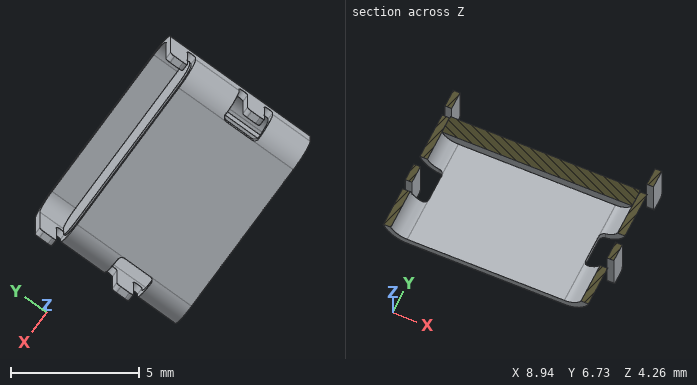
import cadquery as cq

SHELL_WIDTH = 8.94
SHELL_HEIGHT = 3.16
SHELL_DEPTH = 6.73
CORNER_RADIUS = 1.11
WALL = 0.3

TOTAL_HEIGHT = 4.26
LEG_WIDTH = 0.805
LEG_GAP = 0.4
FRONT_LEG_START = 2.22
FOOT_RADIUS = 0.2

INSERT_SETBACK = 1.135
BACK_WALL_THICKNESS = 0.805

HALF_WIDTH = SHELL_WIDTH / 2
INNER_HALF_WIDTH = HALF_WIDTH - WALL
FLAT_WIDTH = SHELL_WIDTH - 2 * CORNER_RADIUS
FLAT_HEIGHT = SHELL_HEIGHT - 2 * CORNER_RADIUS
LEG_BOTTOM = SHELL_HEIGHT / 2 - TOTAL_HEIGHT
GAP_RADIUS = LEG_GAP / 2
REAR_LEG_START = SHELL_DEPTH - LEG_WIDTH
FLOOR_END = REAR_LEG_START - LEG_GAP
WINDOW_START = FRONT_LEG_START - LEG_GAP
WINDOW_WIDTH = LEG_WIDTH + 2 * LEG_GAP
INSERT_BACK = SHELL_DEPTH - INSERT_SETBACK


def rounded_bar(inset, start, end):
    """Bar along Y whose section is the shell outline moved inward by inset."""
    return (
        cq.Workplane("XZ", origin=(0, start, 0))
        .rect(SHELL_WIDTH - 2 * inset, SHELL_HEIGHT - 2 * inset)
        .extrude(start - end)
        .edges("|Y")
        .fillet(CORNER_RADIUS - inset)
    )


def box_between(low, high):
    """Box spanning two opposite corner points."""
    size = [b - a for a, b in zip(low, high)]
    return cq.Workplane("XY").box(*size, centered=False).translate(low)


def window_cutter(side):
    """Clearance around a front leg, through the side wall and lower corner."""
    left = FLAT_WIDTH / 2 if side > 0 else -HALF_WIDTH
    low = (left, WINDOW_START, -SHELL_HEIGHT / 2)
    high = (left + CORNER_RADIUS, WINDOW_START + WINDOW_WIDTH, 0)
    round_top = box_between(low, high).edges("|X and >Z").fillet(GAP_RADIUS)
    floor_edges = "|Z and <X" if side > 0 else "|Z and >X"
    round_floor = box_between(low, high).edges(floor_edges).fillet(GAP_RADIUS)
    return round_top.intersect(round_floor)


def rear_cutter():
    """Removes the lower half of the tube behind the floor."""
    low = (-HALF_WIDTH, FLOOR_END, -SHELL_HEIGHT / 2)
    high = (HALF_WIDTH, SHELL_DEPTH, 0)
    return box_between(low, high).edges("|X and >Z and <Y").fillet(GAP_RADIUS)


def leg(side, start):
    """Leg plate in line with a side wall, ending in a rounded foot."""
    left = INNER_HALF_WIDTH if side > 0 else -HALF_WIDTH
    low = (left, start, LEG_BOTTOM)
    high = (left + WALL, start + LEG_WIDTH, 0)
    return box_between(low, high).edges("|X and <Z").fillet(FOOT_RADIUS)


def root_fillet(side, edge, direction):
    """Concave fillet between a leg edge and the wall above the gap."""
    left = INNER_HALF_WIDTH if side > 0 else -HALF_WIDTH
    outer = edge + direction * GAP_RADIUS
    low = (left, min(edge, outer), -GAP_RADIUS)
    high = (left + WALL, max(edge, outer), 0)
    round_gap = (
        cq.Workplane("YZ", origin=(left, 0, 0))
        .center(outer, -GAP_RADIUS)
        .circle(GAP_RADIUS)
        .extrude(WALL)
    )
    return box_between(low, high).cut(round_gap)


def make_shell():
    shell = rounded_bar(0, 0, SHELL_DEPTH).cut(rounded_bar(WALL, 0, SHELL_DEPTH))
    shell = shell.cut(rear_cutter())
    for side in (-1, 1):
        shell = shell.cut(window_cutter(side))
        for start in (FRONT_LEG_START, REAR_LEG_START):
            shell = shell.union(leg(side, start))
            shell = shell.union(root_fillet(side, start, -1))
        shell = shell.union(root_fillet(side, FRONT_LEG_START + LEG_WIDTH, 1))
    return shell


def make_insert():
    back_wall_front = INSERT_BACK - BACK_WALL_THICKNESS
    back_wall = rounded_bar(WALL, back_wall_front, INSERT_BACK)
    tongue = box_between(
        (-FLAT_WIDTH / 2, 0, -FLAT_HEIGHT / 2),
        (FLAT_WIDTH / 2, back_wall_front, FLAT_HEIGHT / 2),
    )
    return back_wall.union(tongue)


shell = make_shell()
insert = make_insert()

result = cq.Compound.makeCompound([shell.val(), insert.val()])